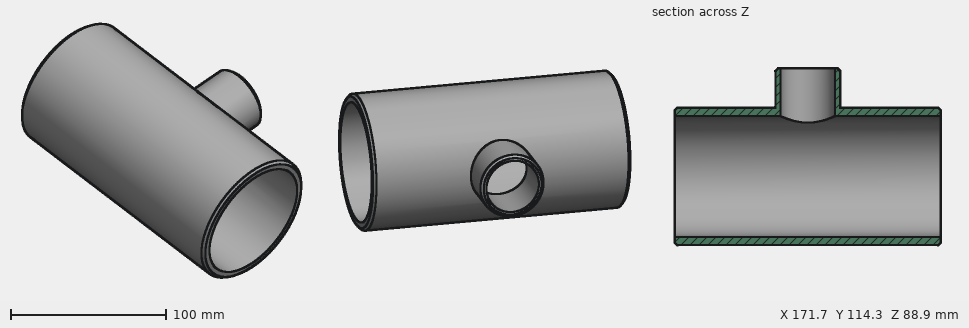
import cadquery as cq

run_length = 171.7
run_diameter = 88.9
run_wall = 5.5

branch_diameter = 42.2
branch_wall = 3.6
overall_width = 114.3
branch_reach = overall_width - run_diameter / 2

bevel_depth = 1.8
bevel_height = 1.8


def main_pipe_body():
    """Solid main pipe with both ends bevelled."""
    radius = run_diameter / 2
    half_length = run_length / 2
    shoulder = half_length - bevel_depth
    return (
        cq.Workplane("XY")
        .moveTo(-half_length, 0)
        .lineTo(-half_length, radius - bevel_height)
        .lineTo(-shoulder, radius)
        .lineTo(shoulder, radius)
        .lineTo(half_length, radius - bevel_height)
        .lineTo(half_length, 0)
        .close()
        .revolve(360, (0, 0, 0), (1, 0, 0))
    )


def branch_body():
    """Solid branch from the main axis out to its bevelled end."""
    radius = branch_diameter / 2
    return (
        cq.Workplane("XY")
        .lineTo(radius, 0)
        .lineTo(radius, branch_reach - bevel_depth)
        .lineTo(radius - bevel_height, branch_reach)
        .lineTo(0, branch_reach)
        .close()
        .revolve(360, (0, 0, 0), (0, 1, 0))
    )


def main_bore():
    """Straight bore through the whole main pipe."""
    return (
        cq.Workplane("YZ")
        .circle(run_diameter / 2 - run_wall)
        .extrude(run_length / 2, both=True)
    )


def branch_bore():
    """Bore from the branch end into the main bore."""
    return (
        cq.Workplane("XZ")
        .circle(branch_diameter / 2 - branch_wall)
        .extrude(-branch_reach)
    )


result = main_pipe_body().union(branch_body()).cut(main_bore()).cut(branch_bore())